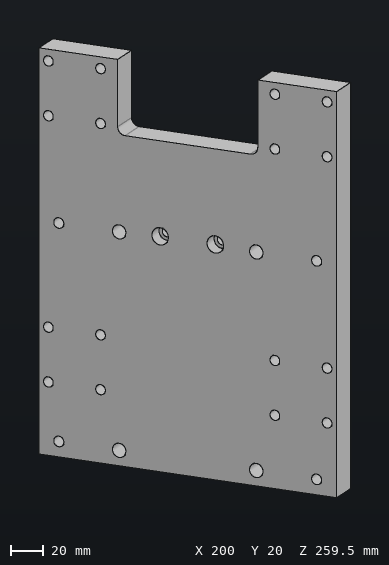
import cadquery as cq

plate_width = 200.0
plate_thickness = 20.0
plate_height = 259.5

notch_width = 94.0
notch_depth = 48.0
notch_corner_radius = 5.0

group_hole_diameter = 6.5
group_pitch = 35.0
group_centre_x = 76.0
lower_group_centre_z = 64.5
upper_group_centre_z = 234.5

row_spacing = 139.5
lower_row_z = 10.0
large_hole_diameter = 9.0
large_hole_spacing = 92.0
outer_hole_diameter = 6.75
outer_hole_spacing = 173.0

counterbored_hole_diameter = 6.6
counterbore_diameter = 11.0
counterbore_depth = plate_thickness / 2
counterbored_spacing = 37.0
counterbored_rise = 1.0

upper_row_z = lower_row_z + row_spacing
counterbored_z = upper_row_z + counterbored_rise


def cylinders_from_front(points, diameter, depth):
    """Cylinders that start on the front face at (x, z) points and run toward +Y."""
    return cq.Workplane("XZ").pushPoints(points).circle(diameter / 2).extrude(-depth)


def mirrored_points(spacing, heights):
    """Points at plus and minus half the spacing, at each height."""
    return [(side * spacing / 2, z) for side in (-1, 1) for z in heights]


def make_plate():
    return cq.Workplane("XY").box(
        plate_width, plate_thickness, plate_height, centered=(True, False, False)
    )


def make_notch():
    block = cq.Workplane("XY").box(
        notch_width, plate_thickness, notch_depth, centered=(True, False, False)
    )
    rounded = block.edges("|Y").edges("<Z").fillet(notch_corner_radius)
    return rounded.translate((0, 0, plate_height - notch_depth))


def make_group_holes():
    half_pitch = group_pitch / 2
    heights = [
        centre_z + side * half_pitch
        for centre_z in (lower_group_centre_z, upper_group_centre_z)
        for side in (-1, 1)
    ]
    points = []
    for column_x in (group_centre_x - half_pitch, group_centre_x + half_pitch):
        points += mirrored_points(2 * column_x, heights)
    return cylinders_from_front(points, group_hole_diameter, plate_thickness)


def make_row_holes(spacing, diameter):
    points = mirrored_points(spacing, (lower_row_z, upper_row_z))
    return cylinders_from_front(points, diameter, plate_thickness)


def make_counterbored_holes():
    points = mirrored_points(counterbored_spacing, (counterbored_z,))
    through_holes = cylinders_from_front(points, counterbored_hole_diameter, plate_thickness)
    counterbores = cylinders_from_front(points, counterbore_diameter, counterbore_depth)
    return through_holes.union(counterbores)


result = (
    make_plate()
    .cut(make_notch())
    .cut(make_group_holes())
    .cut(make_row_holes(large_hole_spacing, large_hole_diameter))
    .cut(make_row_holes(outer_hole_spacing, outer_hole_diameter))
    .cut(make_counterbored_holes())
)